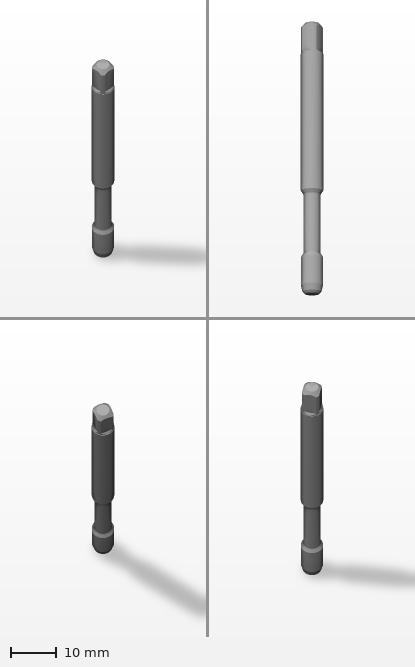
import cadquery as cq
import math


total_length = 60.55

head_diameter = 4.9
head_length = 8.2
lead_length = 2.0
lead_tip_diameter = 4.15
tip_chamfer_height = 0.5
tip_diameter = 3.15

neck_diameter = 3.76
transition_angle = math.radians(34)
neck_fillet_radius = 0.6

shank_diameter = 4.93
shank_bottom = 23.1

drive_diameter = 4.73
drive_length = 6.95
square_width = 3.86
flat_length = 6.37
drive_top_diameter = 2.76
drive_bottom = total_length - drive_length
flat_bottom = total_length - flat_length


def transition_points(outer_radius, outer_z, toward_neck):
    """Cone edge, arc middle and arc end of a transition, from its outer rim to the neck.

    toward_neck is 1 if the neck lies above the rim and -1 if it lies below.
    """
    neck_radius = neck_diameter / 2

    def arc_point(angle):
        radius = neck_radius + neck_fillet_radius * (1 - math.cos(angle))
        axial = neck_fillet_radius * math.sin(angle)
        return radius, axial

    arc_radius, arc_height = arc_point(transition_angle)
    cone_height = (outer_radius - arc_radius) / math.tan(transition_angle)
    neck_z = outer_z + toward_neck * (cone_height + arc_height)
    middle_radius, middle_height = arc_point(transition_angle / 2)
    cone_end = (arc_radius, outer_z + toward_neck * cone_height)
    arc_middle = (middle_radius, neck_z - toward_neck * middle_height)
    arc_end = (neck_radius, neck_z)
    return cone_end, arc_middle, arc_end


def make_head():
    """Cylindrical head with a tapered lead and a chamfered tip."""
    profile = (
        cq.Workplane("XZ")
        .lineTo(tip_diameter / 2, 0)
        .lineTo(lead_tip_diameter / 2, tip_chamfer_height)
        .lineTo(head_diameter / 2, lead_length)
        .lineTo(head_diameter / 2, head_length)
        .lineTo(0, head_length)
        .close()
    )
    return profile.revolve(360, (0, 0, 0), (0, 1, 0))


def make_shank_blank():
    """Turned shank: transition above the head, neck, main cylinder and chamfered drive end."""
    lower_cone_end, lower_arc_middle, lower_arc_end = transition_points(head_diameter / 2, head_length, 1)
    upper_cone_end, upper_arc_middle, upper_arc_end = transition_points(shank_diameter / 2, shank_bottom, -1)
    end_chamfer = (drive_diameter - drive_top_diameter) / 2
    profile = (
        cq.Workplane("XZ")
        .moveTo(0, head_length)
        .lineTo(head_diameter / 2, head_length)
        .lineTo(*lower_cone_end)
        .threePointArc(lower_arc_middle, lower_arc_end)
        .lineTo(*upper_arc_end)
        .threePointArc(upper_arc_middle, upper_cone_end)
        .lineTo(shank_diameter / 2, shank_bottom)
        .lineTo(shank_diameter / 2, drive_bottom)
        .lineTo(drive_diameter / 2, drive_bottom)
        .lineTo(drive_diameter / 2, total_length - end_chamfer)
        .lineTo(drive_top_diameter / 2, total_length)
        .lineTo(0, total_length)
        .close()
    )
    return profile.revolve(360, (0, 0, 0), (0, 1, 0))


def make_flat_cutter():
    """Prism that cuts one drive flat on the +X side, with a 45 degree run-out at its foot."""
    flat_x = square_width / 2
    reach = shank_diameter
    return (
        cq.Workplane("XZ")
        .moveTo(flat_x, total_length)
        .lineTo(flat_x, flat_bottom)
        .lineTo(flat_x + reach, flat_bottom - reach)
        .lineTo(flat_x + reach, total_length)
        .close()
        .extrude(shank_diameter / 2, both=True)
    )


def make_shank():
    """Shank with the four flats of the square drive."""
    shank = make_shank_blank()
    cutter = make_flat_cutter()
    for side in range(4):
        shank = shank.cut(cutter.rotate((0, 0, 0), (0, 0, 1), 90 * side))
    return shank


head = make_head()
shank = make_shank()

result = cq.Compound.makeCompound([head.val(), shank.val()])